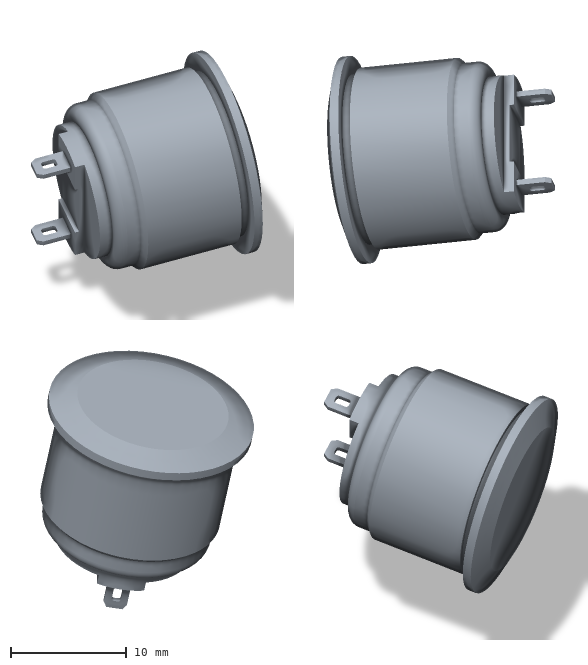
import cadquery as cq

flange_diameter = 18.0
crown_diameter = 13.28
body_diameter = 15.8
neck_diameter = 14.8
base_diameter = 12.0

rim_front = 0.75
flange_back = 1.52
body_front = 2.3
body_chamfer_start = 10.88
housing_back = 13.5
base_back = 14.62
bridge_floor = 15.11
block_back = 15.48
overall_length = 18.5

body_chamfer = (body_diameter - neck_diameter) / 2
back_fillet = 0.92

block_width = 4.13
bridge_height = 5.48

terminal_spacing = 8.55
terminal_width = 2.04
terminal_thickness = 0.5
tip_chamfer_width = 0.31
tip_chamfer_length = 0.5
slot_width = 0.8
slot_length = 1.35
slot_corner = 0.24
slot_center = 17.1


def make_housing():
    """Revolve the half section of the flange, body and rounded back about Y."""
    flange_radius = flange_diameter / 2
    body_radius = body_diameter / 2
    neck_radius = neck_diameter / 2
    return (
        cq.Workplane("XY")
        .moveTo(0, 0)
        .lineTo(crown_diameter / 2, 0)
        .lineTo(flange_radius, -rim_front)
        .lineTo(flange_radius, -flange_back)
        .lineTo(neck_radius, -flange_back)
        .lineTo(neck_radius, -body_front)
        .lineTo(body_radius, -body_front)
        .lineTo(body_radius, -body_chamfer_start)
        .lineTo(neck_radius, -body_chamfer_start - body_chamfer)
        .lineTo(neck_radius, -housing_back + back_fillet)
        .radiusArc((neck_radius - back_fillet, -housing_back), back_fillet)
        .lineTo(0, -housing_back)
        .close()
        .revolve(360, (0, 0, 0), (0, 1, 0))
    )


def make_disc(diameter, front, back):
    """Disc on the Y axis between two stations."""
    return (
        cq.Workplane("XZ", origin=(0, -front, 0))
        .circle(diameter / 2)
        .extrude(back - front)
    )


def make_block():
    """Strip of the base circle, with a lower bridge between its two ends."""
    strip = make_disc(base_diameter, base_back, block_back).intersect(
        cq.Workplane("XY").box(block_width, 2 * overall_length, base_diameter)
    )
    recess = (
        cq.Workplane("XZ", origin=(0, -bridge_floor, 0))
        .rect(block_width, bridge_height)
        .extrude(block_back - bridge_floor)
    )
    return strip.cut(recess)


def make_terminal(height):
    """Flat terminal with a clipped tip and a rounded slot, centred at Z = height."""
    half_width = terminal_width / 2
    tip_half_width = half_width - tip_chamfer_width
    shoulder = overall_length - tip_chamfer_length
    bottom = height - terminal_thickness / 2
    blade = (
        cq.Workplane("XY", origin=(0, 0, bottom))
        .polyline([
            (-half_width, -base_back),
            (half_width, -base_back),
            (half_width, -shoulder),
            (tip_half_width, -overall_length),
            (-tip_half_width, -overall_length),
            (-half_width, -shoulder),
        ])
        .close()
        .extrude(terminal_thickness)
    )
    slot = (
        cq.Workplane("XY", origin=(0, -slot_center, bottom))
        .rect(slot_width, slot_length)
        .extrude(terminal_thickness)
        .edges("|Z")
        .fillet(slot_corner)
    )
    return blade.cut(slot)


result = (
    make_housing()
    .union(make_disc(base_diameter, housing_back, base_back))
    .union(make_block())
)
for side in (-1, 1):
    result = result.union(make_terminal(side * terminal_spacing / 2))